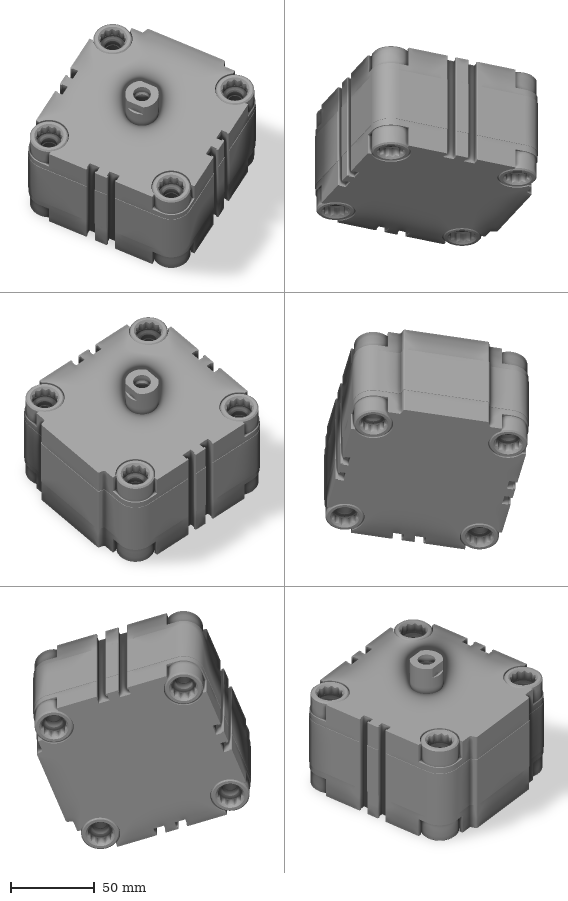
import cadquery as cq
import math


cap_height = 16.4
barrel_height = 33.2
rod_length = 18.0
body_height = 2 * cap_height + barrel_height

cap_half_width = 53.3
barrel_step = 0.2
bolt_offset = 41.1

lug_height = 4.0
lug_top_half_width = 26.0
lug_side_angle = 15.0
lug_fillet = 1.1

slot_inner_near = 3.3
slot_inner_far = 10.1
slot_mouth_near = 4.1
slot_mouth_far = 9.5
slot_lip_reach = 51.8
slot_floor_reach = 48.2
slot_mouth_chamfer = 0.3

head_diameter = 23.0
seat_diameter = 23.6
head_height = 12.2
head_chamfer = 0.9
corner_cut_offset = 6.4

socket_lead_in_diameter = 17.5
socket_lead_in_end_diameter = 14.3
socket_lead_in_depth = 2.0
socket_point_diameter = 16.2
socket_point_start = 1.0
socket_point_depth = 6.5
socket_relief_diameter = 15.4
socket_depth = 7.9
head_bore_chamfer_diameter = 11.1
head_bore_diameter = 9.5
bolt_bore_diameter = 8.5

rod_diameter = 20.0
rod_flat_distance = 17.0
rod_flat_length = 6.8
rod_counterbore_diameter = 10.5
rod_counterbore_depth = 4.7
rod_hole_diameter = 8.5
rod_hole_depth = 13.3
drill_point_angle = 118.0

bolt_centers = [(sx * bolt_offset, sy * bolt_offset) for sx in (-1, 1) for sy in (-1, 1)]


def block(x_limits, y_limits, height):
    """Box standing on Z = 0 between two X limits and two Y limits."""
    x_size = x_limits[1] - x_limits[0]
    y_size = y_limits[1] - y_limits[0]
    return (
        cq.Workplane("XY")
        .box(x_size, y_size, height, centered=False)
        .translate((x_limits[0], y_limits[0], 0))
    )


def cylinder(diameter, z_bottom, z_top):
    return cq.Workplane("XY").workplane(offset=z_bottom).circle(diameter / 2).extrude(z_top - z_bottom)


def cone(bottom_diameter, top_diameter, z_bottom, z_top):
    """Round frustum on the Z axis."""
    height = z_top - z_bottom
    base = cq.Vector(0, 0, z_bottom)
    return cq.Workplane(cq.Solid.makeCone(bottom_diameter / 2, top_diameter / 2, height, base))


def lug(half_width, height):
    """Tapered lug on the +Y side, rounded where it meets the side and along its top edges."""
    top_half_width = lug_top_half_width + half_width - cap_half_width
    top_y = half_width + lug_height
    root_half_width = top_half_width + lug_height * math.tan(math.radians(lug_side_angle))
    foot_half_width = root_half_width + 2 * lug_fillet
    foot_y = half_width - 2 * lug_fillet
    outline = [
        (-foot_half_width, foot_y),
        (-foot_half_width, half_width),
        (-root_half_width, half_width),
        (-top_half_width, top_y),
        (top_half_width, top_y),
        (root_half_width, half_width),
        (foot_half_width, half_width),
        (foot_half_width, foot_y),
    ]
    slab = cq.Workplane("XY").polyline(outline).close().extrude(height)
    rounded_zone = cq.selectors.BoxSelector(
        (-root_half_width - lug_fillet, half_width - lug_fillet, 0),
        (root_half_width + lug_fillet, top_y + lug_fillet, height),
    )
    return slab.edges("|Z").edges(rounded_zone).fillet(lug_fillet)


def slot_pair(half_width, height):
    """Two mirrored undercut slots that open toward -Y, their mouths chamfered at -half_width."""
    inner = block((slot_inner_near, slot_inner_far), (-slot_lip_reach, -slot_floor_reach), height)
    chamfer_y = -half_width + slot_mouth_chamfer
    mouth_outline = [
        (slot_mouth_near, -slot_lip_reach),
        (slot_mouth_far, -slot_lip_reach),
        (slot_mouth_far, chamfer_y),
        (slot_mouth_far + slot_mouth_chamfer, -half_width),
        (slot_mouth_near - slot_mouth_chamfer, -half_width),
        (slot_mouth_near, chamfer_y),
    ]
    mouth = cq.Workplane("XY").polyline(mouth_outline).close().extrude(height)
    slot = inner.union(mouth)
    return slot.union(slot.mirror("YZ"))


def profile_block(half_width, height):
    """Prism with the housing section: rounded square, lug and sensor slots."""
    prism = (
        block((-half_width, half_width), (-half_width, half_width), height)
        .edges("|Z")
        .fillet(half_width - bolt_offset)
        .union(lug(half_width, height))
    )
    slots = slot_pair(half_width, height)
    for angle in (-90, 0, 90):
        prism = prism.cut(slots.rotate((0, 0, 0), (0, 0, 1), angle))
    return prism


def corner_recess(x, y):
    """Room for a bolt head: a round seat, opened squarely through the corner of the cap."""
    seat_base = cap_height - head_height
    opening = cap_half_width - bolt_offset
    seat = cylinder(seat_diameter, seat_base, cap_height).translate((x, y, 0))
    open_x = sorted((x - math.copysign(corner_cut_offset, x), x + math.copysign(opening, x)))
    open_y = sorted((y - math.copysign(corner_cut_offset, y), y + math.copysign(opening, y)))
    corner = block(open_x, open_y, head_height).translate((0, 0, seat_base))
    return seat.union(corner)


def socket():
    """Material removed from a bolt head on the Z axis, down to the seat of the head."""
    top = cap_height
    seat_base = top - head_height
    floor = top - socket_depth
    bore_chamfer = (head_bore_chamfer_diameter - head_bore_diameter) / 2
    void = cone(socket_lead_in_end_diameter, socket_lead_in_diameter, top - socket_lead_in_depth, top)
    for angle in (0, 30):
        hexagon = (
            cq.Workplane("XY")
            .workplane(offset=top - socket_point_depth)
            .polygon(6, socket_point_diameter)
            .extrude(socket_point_depth - socket_point_start)
            .rotate((0, 0, 0), (0, 0, 1), angle)
        )
        void = void.union(hexagon)
    return (
        void.union(cylinder(socket_relief_diameter, floor, top - socket_point_depth))
        .union(cone(head_bore_diameter, head_bore_chamfer_diameter, floor - bore_chamfer, floor))
        .union(cylinder(head_bore_diameter, seat_base, floor))
    )


def end_cap():
    """Cap standing on Z = 0 with its bolt heads at the top."""
    cap = profile_block(cap_half_width, cap_height)
    seat_base = cap_height - head_height
    head = cylinder(head_diameter, seat_base, cap_height).faces(">Z").edges().chamfer(head_chamfer)
    head = head.cut(socket())
    bore = cylinder(bolt_bore_diameter, 0, seat_base)
    for x, y in bolt_centers:
        cap = cap.cut(corner_recess(x, y))
        cap = cap.union(head.translate((x, y, 0)))
        cap = cap.cut(bore.translate((x, y, 0)))
    return cap


def make_rod():
    """Rod end standing on Z = 0, with two wrench flats and a blind hole in its end."""
    rod = cylinder(rod_diameter, 0, rod_length)
    flat_limits = (rod_flat_distance / 2, rod_diameter)
    flat = block((-rod_diameter, rod_diameter), flat_limits, rod_flat_length)
    flat = flat.translate((0, 0, rod_length - rod_flat_length))
    counterbore_floor = rod_length - rod_counterbore_depth
    step = (rod_counterbore_diameter - rod_hole_diameter) / 2
    hole_floor = rod_length - rod_hole_depth
    point_depth = rod_hole_diameter / 2 / math.tan(math.radians(drill_point_angle / 2))
    return (
        rod.cut(flat)
        .cut(flat.mirror("XZ"))
        .cut(cylinder(rod_counterbore_diameter, counterbore_floor, rod_length))
        .cut(cone(rod_hole_diameter, rod_counterbore_diameter, counterbore_floor - step, counterbore_floor))
        .cut(cylinder(rod_hole_diameter, hole_floor, counterbore_floor - step))
        .cut(cone(0, rod_hole_diameter, hole_floor - point_depth, hole_floor))
    )


def make_housing():
    """End caps and barrel as one body, the rear cap being the front cap turned over."""
    barrel = profile_block(cap_half_width + barrel_step, barrel_height)
    bore = cylinder(bolt_bore_diameter, 0, barrel_height)
    for x, y in bolt_centers:
        barrel = barrel.cut(bore.translate((x, y, 0)))
    cap = end_cap()
    rear_cap = cap.mirror("XY").translate((0, 0, cap_height))
    front_cap = cap.translate((0, 0, body_height - cap_height))
    return barrel.translate((0, 0, cap_height)).union(rear_cap).union(front_cap).clean()


housing = make_housing()
rod = make_rod().translate((0, 0, body_height))

result = cq.Compound.makeCompound([*housing.solids().vals(), *rod.solids().vals()])